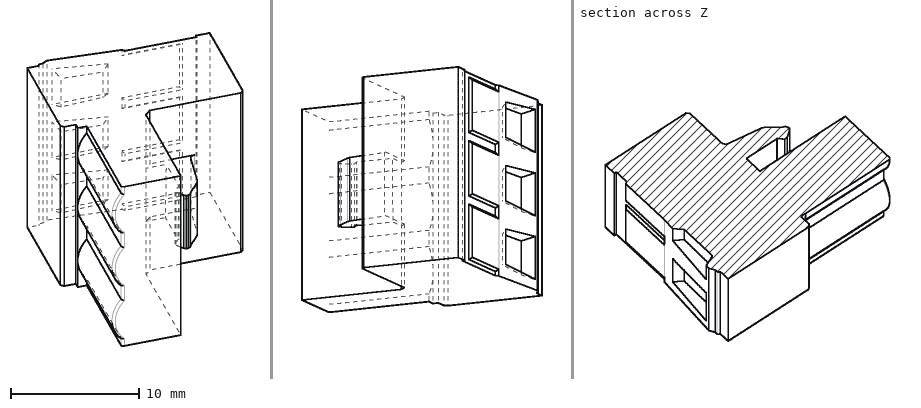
import cadquery as cq
import math

pole_count = 3
height = 15.25
pole_pitch = 5.08
pole_centers = [height / 2 + (i - (pole_count - 1) / 2) * pole_pitch for i in range(pole_count)]

length = 18.0
depth = 15.0
face_x = 0.47
back_x = 8.9
corner_chamfer = 0.23

recess_depth = 0.2
recess_top_y = 13.86
recess_end_y = 7.75
nose_y = 1.76
nose_flank_end_y = 1.33
nose_end_y = 0.95
nose_step = 0.2

root_x = 9.36
tongue_top_y = 6.8
web_y = 1.95
rib_y = 1.2
rib_width = 3.78
tip_radius = 0.2
rib_embed = 2 * tip_radius
root_chamfer = root_x - back_x

pad_top_y = 12.47
pad_width = 4.03
pad_taper = 0.2

mouth_y = (2.15, 7.04)
mouth_widths = (3.44, 3.06)
floor_x = 1.03
floor_y = (2.6, 6.01)
floor_widths = (2.7, 2.43)

latch_width = pole_pitch
latch_bottom_y = 8.46
latch_underside_drop = 0.07
latch_root_fillet = 0.43
latch_root_y = 10.51
latch_tip = [
    (12.28, 10.06),
    (12.55, 9.92),
    (13.54, 9.1),
    (13.75, 9.0),
    (13.88, 8.8),
    (13.88, 8.62),
    (13.77, latch_bottom_y),
    (13.14, 8.01),
    (12.87, 8.01),
    (12.45, latch_bottom_y),
]


def make_housing():
    """Full-height body and tongue, including the recess and the nose."""
    recess_x = face_x + recess_depth
    outline = [
        (face_x, 0),
        (back_x - corner_chamfer, 0),
        (back_x, corner_chamfer),
        (back_x, rib_y),
        (root_x, rib_y),
        (root_x, web_y),
        (length, web_y),
        (length, tongue_top_y),
        (root_x, tongue_top_y),
        (back_x, tongue_top_y + root_chamfer),
        (back_x, depth - corner_chamfer),
        (back_x - corner_chamfer, depth),
        (face_x, depth),
        (face_x, recess_top_y),
        (recess_x, recess_top_y),
        (recess_x, recess_end_y + recess_depth),
        (face_x, recess_end_y),
        (0, nose_y),
        (face_x - nose_step, nose_flank_end_y),
        (face_x - nose_step, nose_end_y + nose_step),
    ]
    arc_inset = nose_step * math.sqrt(0.5)
    housing = (
        cq.Workplane("XY")
        .polyline(outline)
        .threePointArc(
            (face_x - arc_inset, nose_end_y + nose_step - arc_inset),
            (face_x, nose_end_y),
        )
        .close()
        .extrude(height)
    )
    tip_edge = cq.selectors.NearestToPointSelector((length, web_y, height / 2))
    return housing.edges(tip_edge).fillet(tip_radius)


def make_rib(center_z):
    """Rounded rib on the tongue, filleted around its tip."""
    half = rib_width / 2
    rib = (
        cq.Workplane("YZ", origin=(root_x, 0, center_z))
        .moveTo(web_y + rib_embed, -half)
        .lineTo(web_y, -half)
        .threePointArc((rib_y, 0), (web_y, half))
        .lineTo(web_y + rib_embed, half)
        .close()
        .extrude(length - root_x)
    )
    return rib.faces(">X").edges("%CIRCLE").fillet(tip_radius)


def make_pad(center_z):
    """Raised pad: a tapered block whose top is flush with the housing face."""
    top_length = pad_top_y - recess_end_y
    base_length = top_length + 2 * pad_taper
    return (
        cq.Workplane("YZ", origin=(face_x, (pad_top_y + recess_end_y) / 2, center_z))
        .rect(top_length, pad_width)
        .workplane(offset=recess_depth)
        .rect(base_length, pad_width + 2 * pad_taper)
        .loft(ruled=True)
    )


def trapezoid(y_range, widths):
    """Corners of a trapezoid in the YZ plane, symmetric about its pole."""
    return [
        (y_range[0], -widths[0] / 2),
        (y_range[1], -widths[1] / 2),
        (y_range[1], widths[1] / 2),
        (y_range[0], widths[0] / 2),
    ]


def make_funnel(center_z):
    """Four-sided funnel narrowing from the entry face to a flat floor."""
    return (
        cq.Workplane("YZ", origin=(0, 0, center_z))
        .polyline(trapezoid(mouth_y, mouth_widths))
        .close()
        .workplane(offset=floor_x)
        .polyline(trapezoid(floor_y, floor_widths))
        .close()
        .loft(ruled=True)
    )


def make_latch():
    """Hooked latch arm with a foot plate and a slightly slanted underside, centred in Z."""
    arc_mid = latch_root_fillet * (1 - math.sqrt(0.5))
    latch_base_z = (height - latch_width) / 2
    arm = (
        cq.Workplane("XY", origin=(0, 0, latch_base_z))
        .moveTo(back_x, tongue_top_y)
        .lineTo(back_x, latch_root_y + latch_root_fillet)
        .threePointArc(
            (back_x + arc_mid, latch_root_y + arc_mid),
            (back_x + latch_root_fillet, latch_root_y),
        )
        .polyline(latch_tip, includeCurrent=True)
        .lineTo(root_x, latch_bottom_y)
        .lineTo(root_x, tongue_top_y)
        .close()
        .extrude(latch_width)
    )
    underside = (
        cq.Workplane("YZ", origin=(root_x, latch_bottom_y, latch_base_z))
        .polyline([(0, latch_width), (0, 0), (-latch_underside_drop, 0)])
        .close()
        .extrude(latch_tip[-1][0] - root_x)
    )
    return arm.union(underside)


result = make_housing().union(make_latch())
for center in pole_centers:
    result = result.union(make_rib(center)).union(make_pad(center)).cut(make_funnel(center))